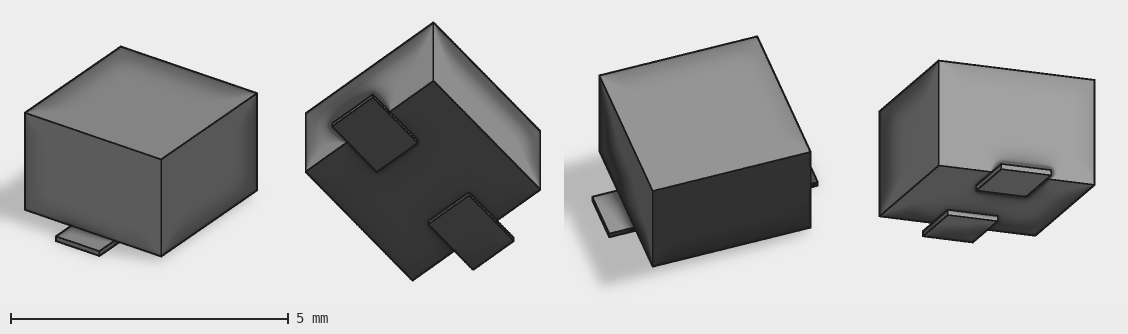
import cadquery as cq

overall_length = 3.96
housing_side = 3.0
housing_height = 2.0
terminal_thickness = 0.1
terminal_width = 0.96
terminal_length = 1.26

terminal_offset = (overall_length - terminal_length) / 2


def make_housing():
    """Square block standing on top of the terminals."""
    return (
        cq.Workplane("XY")
        .workplane(offset=terminal_thickness)
        .rect(housing_side, housing_side)
        .extrude(housing_height)
    )


def make_terminal(side):
    """Flat terminal strip on the -Y (side = -1) or +Y (side = 1) end."""
    return (
        cq.Workplane("XY")
        .center(0, side * terminal_offset)
        .rect(terminal_width, terminal_length)
        .extrude(terminal_thickness)
    )


housing = make_housing()
terminals = [make_terminal(side) for side in (-1, 1)]

result = cq.Compound.makeCompound(
    [housing.val(), *[terminal.val() for terminal in terminals]]
)